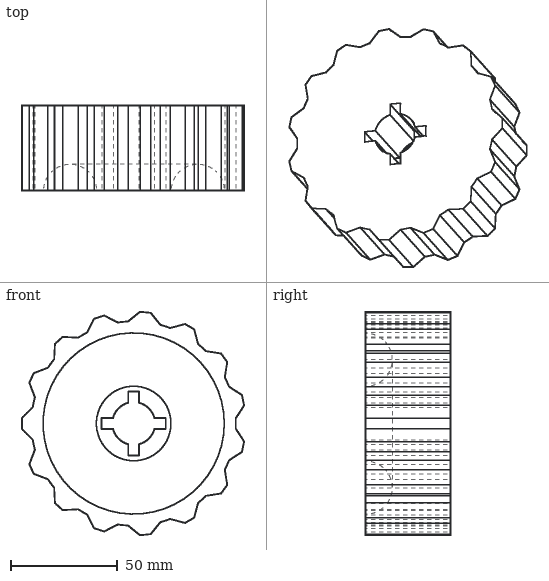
import cadquery as cq
import math

width = 40.0
root_radius = 48.0

tooth_count = 15
tip_distance = 52.5
tip_width = 5.0
tooth_pitch = 360.0 / tooth_count
first_tooth_angle = 180.0

hub_radius = 17.5
groove_outer_radius = 42.5
groove_radius = (groove_outer_radius - hub_radius) / 2
groove_centre_radius = (groove_outer_radius + hub_radius) / 2

bore_radius = 10.0
keyway_width = 5.0
keyway_span = 30.0

front_y = -width / 2


def tooth_flank_foot():
    """Distance along and across the tooth where a 45 degree flank meets the root circle."""
    flank_sum = tip_distance + tip_width / 2
    half_difference = math.sqrt(2 * root_radius**2 - flank_sum**2)
    along = (flank_sum + half_difference) / 2
    across = (flank_sum - half_difference) / 2
    return along, across


def rotated(along, across, angle):
    """Point given along and across a direction at the given angle in degrees."""
    direction = math.radians(angle)
    x = along * math.cos(direction) - across * math.sin(direction)
    z = along * math.sin(direction) + across * math.cos(direction)
    return x, z


def toothed_body():
    """Disc whose outline alternates flat-tipped teeth and arcs of the root circle."""
    along, across = tooth_flank_foot()
    half_tip = tip_width / 2
    outline = cq.Workplane("XZ").workplane(offset=-width / 2)
    outline = outline.moveTo(*rotated(along, -across, first_tooth_angle))
    for index in range(tooth_count):
        angle = first_tooth_angle + index * tooth_pitch
        outline = outline.lineTo(*rotated(tip_distance, -half_tip, angle))
        outline = outline.lineTo(*rotated(tip_distance, half_tip, angle))
        outline = outline.lineTo(*rotated(along, across, angle))
        valley_middle = rotated(root_radius, 0, angle + tooth_pitch / 2)
        valley_end = rotated(along, -across, angle + tooth_pitch)
        outline = outline.threePointArc(valley_middle, valley_end)
    return outline.close().extrude(width)


def ring_groove():
    """Torus centred on the -Y face; its inner half forms the groove."""
    section = cq.Workplane("XY").center(groove_centre_radius, front_y).circle(groove_radius)
    axis_start = (-groove_centre_radius, 0)
    axis_end = (-groove_centre_radius, 1)
    return section.revolve(360, axis_start, axis_end)


def keyed_bore():
    """Round bore with four keyways in a cross."""
    bore = cq.Workplane("XZ").circle(bore_radius).extrude(width / 2, both=True)
    keyways_x = cq.Workplane("XY").box(keyway_span, width, keyway_width)
    keyways_z = cq.Workplane("XY").box(keyway_width, width, keyway_span)
    return bore.union(keyways_x).union(keyways_z)


result = toothed_body().cut(ring_groove()).cut(keyed_bore())